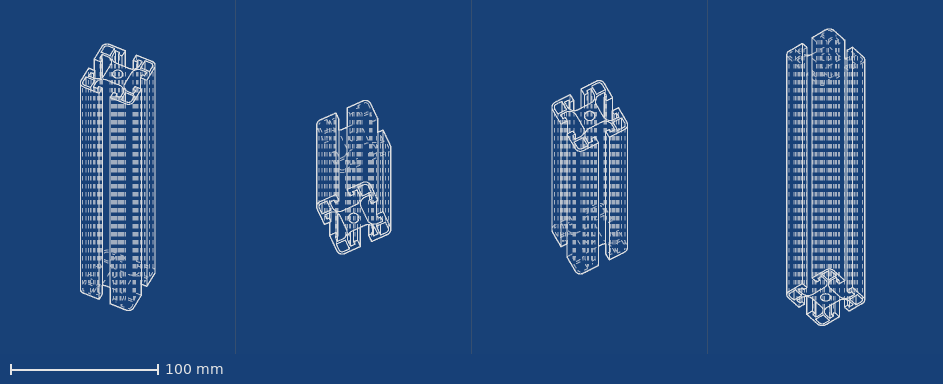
import cadquery as cq

length = 237.0
width = 40.0
corner_radius = 4.0
half_width = width / 2

slot_width = 8.3
lip_depth = 5.0
lip_width = 2.8
flange_thickness = 3.0
channel_half_width = 10.2
channel_fillet = 5.2

core_half_width = 7.8
bore_diameter = 6.9

outer_wall = 1.7
inner_wall = 1.5
pocket_size = half_width - outer_wall - channel_half_width - inner_wall
pocket_radius = corner_radius - outer_wall


def make_blank():
    """Square bar with rounded long edges, standing along Z."""
    blank = cq.Workplane("XY").rect(width, width).extrude(length)
    return blank.edges("|Z").fillet(corner_radius)


def make_slot():
    """T-slot cutter for the +Y side."""
    opening = slot_width / 2
    recess = opening + lip_width
    floor = core_half_width
    lip_end = half_width - lip_depth
    recess_end = half_width - flange_thickness
    right_side = [
        (opening, half_width),
        (opening, lip_end),
        (recess, lip_end),
        (recess, recess_end),
        (channel_half_width, recess_end),
        (channel_half_width, floor),
    ]
    left_side = [(-x, y) for x, y in reversed(right_side)]
    slot = cq.Workplane("XY").polyline(right_side + left_side).close().extrude(length)
    return slot.edges("|Z and <Y").fillet(channel_fillet)


def make_corner_pocket():
    """Cutter for the hollow box in the +X +Y corner."""
    start = channel_half_width + inner_wall
    pocket = (
        cq.Workplane("XY")
        .rect(pocket_size, pocket_size, centered=False)
        .extrude(length)
        .translate((start, start, 0))
    )
    return pocket.edges("|Z and >X and >Y").fillet(pocket_radius)


result = make_blank().faces(">Z").workplane().hole(bore_diameter)

slot_cutter = make_slot()
pocket_cutter = make_corner_pocket()
for angle in (0, 90, 180, 270):
    result = result.cut(slot_cutter.rotate((0, 0, 0), (0, 0, 1), angle))
    result = result.cut(pocket_cutter.rotate((0, 0, 0), (0, 0, 1), angle))